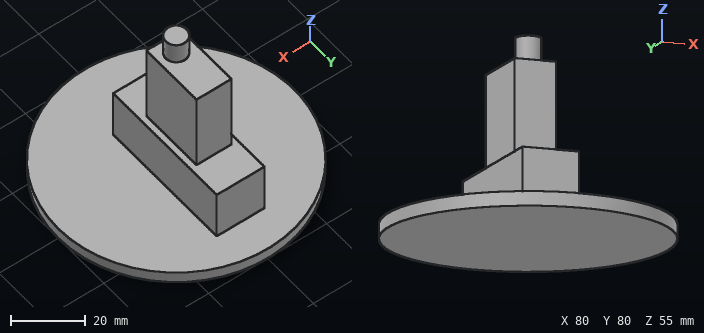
import cadquery as cq

plate_diameter = 80.0
plate_thickness = 4.0

block_offset_y = 5.5

lower_width = 16.2
lower_length = 45.2
lower_height = 17.0

upper_width = 11.8
upper_length = 21.9
upper_height = 27.0

pin_diameter = 7.0
pin_height = 7.0

lower_base = plate_thickness
upper_base = lower_base + lower_height
pin_base = upper_base + upper_height


def block(width, length, height, base):
    """Upright block on the shared block centre, standing at the given level."""
    return (
        cq.Workplane("XY")
        .box(width, length, height, centered=(True, True, False))
        .translate((0, block_offset_y, base))
    )


def disc(diameter, height, base):
    """Cylinder on the plate axis, standing at the given level."""
    return cq.Workplane("XY").workplane(offset=base).circle(diameter / 2).extrude(height)


result = (
    disc(plate_diameter, plate_thickness, 0)
    .union(block(lower_width, lower_length, lower_height, lower_base))
    .union(block(upper_width, upper_length, upper_height, upper_base))
    .union(disc(pin_diameter, pin_height, pin_base))
)